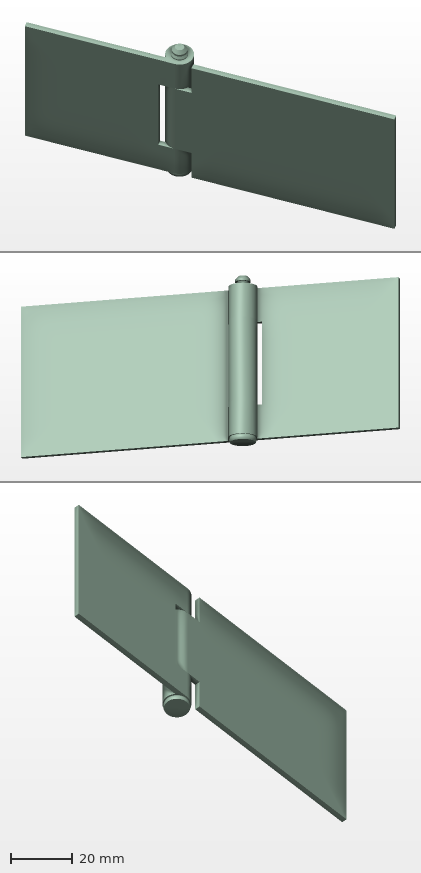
import cadquery as cq

total_width = 128.0
left_reach = 52.0
right_reach = total_width - left_reach
leaf_height = 51.2
leaf_thickness = 1.9

barrel_radius = 4.7
end_knuckle_height = 11.5
middle_knuckle_height = leaf_height - 2 * end_knuckle_height
middle_knuckle_top = end_knuckle_height + middle_knuckle_height
knuckle_clearance = 5.8

pin_radius = 2.8
head_radius = 4.5
head_height = 1.8
head_bulge = 0.3
head_end_radius = head_radius - head_bulge
pin_length = 56.5
tip_height = pin_length - leaf_height - head_height
tip_rim_radius = 2.5
tip_end_radius = 1.5
tip_chamfer_height = 1.2
tip_rim_height = 0.8
neck_radius = 1.9
shoulder_height = 0.4


def make_leaf(reach, direction, knuckle_spans, clear_spans):
    """Plate tangent to the barrel's -Y side, running along direction (-1 or +1) in X."""
    leaf = (
        cq.Workplane("XY")
        .center(direction * reach / 2, -barrel_radius + leaf_thickness / 2)
        .rect(reach, leaf_thickness)
        .extrude(leaf_height)
    )
    for bottom, top in clear_spans:
        clearance = (
            cq.Workplane("XY", origin=(0, 0, bottom))
            .rect(2 * knuckle_clearance, 2 * knuckle_clearance)
            .extrude(top - bottom)
        )
        leaf = leaf.cut(clearance)
    for bottom, top in knuckle_spans:
        knuckle = cq.Workplane("XY", origin=(0, 0, bottom)).circle(barrel_radius).extrude(top - bottom)
        leaf = leaf.union(knuckle)
    pin_hole = cq.Workplane("XY").circle(pin_radius).extrude(leaf_height)
    return leaf.cut(pin_hole)


def make_pin():
    """Headed pin with a grooved, chamfered tip, revolved about Z."""
    shoulder_top = leaf_height + shoulder_height
    tip_top = leaf_height + tip_height
    rim_top = tip_top - tip_chamfer_height
    rim_bottom = rim_top - tip_rim_height
    shank_and_tip = [
        (pin_radius, 0),
        (pin_radius, shoulder_top),
        (neck_radius, rim_bottom),
        (tip_rim_radius, rim_bottom),
        (tip_rim_radius, rim_top),
        (tip_end_radius, tip_top),
        (0, tip_top),
    ]
    profile = (
        cq.Workplane("XZ")
        .moveTo(0, -head_height)
        .lineTo(head_end_radius, -head_height)
        .threePointArc((head_radius, -head_height / 2), (head_end_radius, 0))
        .polyline(shank_and_tip, includeCurrent=True)
        .close()
    )
    return profile.revolve(360, (0, 0, 0), (0, 1, 0))


end_spans = [(0, end_knuckle_height), (middle_knuckle_top, leaf_height)]
middle_spans = [(end_knuckle_height, middle_knuckle_top)]

left_leaf = make_leaf(left_reach, -1, end_spans, middle_spans)
right_leaf = make_leaf(right_reach, 1, middle_spans, end_spans)
pin = make_pin()

result = cq.Compound.makeCompound([left_leaf.val(), right_leaf.val(), pin.val()])